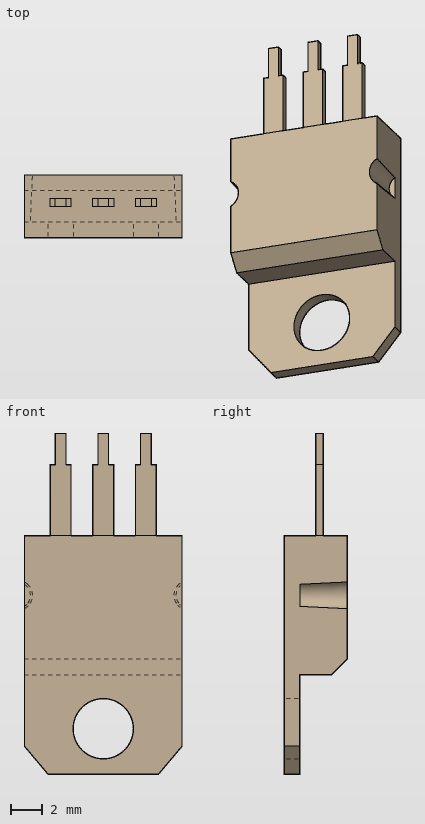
import cadquery as cq

width = 10.0
thickness = 4.0
total_height = 21.6

tab_thickness = 1.0
tab_corner_width = 1.51
tab_corner_height = 1.8
hole_diameter = 3.8
hole_height = 2.9

body_bottom = 6.3
body_top = 15.12
body_chamfer = 1.0

notch_height = 11.35
notch_axis_offset = 0.43
notch_outer_radius = 0.95
notch_inner_radius = 0.82

lead_pitch = 2.7
lead_offsets = (-lead_pitch, 0, lead_pitch)
lead_width = 1.35
lead_tip_width = 0.7
lead_thickness = 0.5
lead_front = 1.99
lead_shoulder = 19.61


def make_tab():
    half = width / 2
    foot = half - tab_corner_width
    outline = [
        (-foot, 0),
        (foot, 0),
        (half, tab_corner_height),
        (half, body_top),
        (-half, body_top),
        (-half, tab_corner_height),
    ]
    tab = cq.Workplane("XZ").polyline(outline).close().extrude(-tab_thickness)
    hole = cq.Workplane("XZ").center(0, hole_height).circle(hole_diameter / 2).extrude(-tab_thickness)
    return tab.cut(hole)


def make_body():
    profile = [
        (tab_thickness, body_bottom),
        (thickness - body_chamfer, body_bottom),
        (thickness, body_bottom + body_chamfer),
        (thickness, body_top),
        (tab_thickness, body_top),
    ]
    return cq.Workplane("YZ").polyline(profile).close().extrude(width / 2, both=True)


def make_notch(side):
    """Cone along Y, widening toward the back; side is -1 or 1."""
    axis_x = side * (width / 2 + notch_axis_offset)
    return cq.Workplane(
        cq.Solid.makeCone(
            notch_inner_radius,
            notch_outer_radius,
            thickness - tab_thickness,
            pnt=cq.Vector(axis_x, tab_thickness, notch_height),
            dir=cq.Vector(0, 1, 0),
        )
    )


def make_lead(x):
    """Flat lead with a narrower tip."""

    def bar(bar_width, top):
        return cq.Workplane("XY").box(
            bar_width, lead_thickness, top - body_top, centered=(True, False, False)
        )

    lead = bar(lead_width, lead_shoulder).union(bar(lead_tip_width, total_height))
    return lead.translate((x, lead_front, body_top))


result = make_tab().union(make_body())
for side in (-1, 1):
    result = result.cut(make_notch(side))
for x in lead_offsets:
    result = result.union(make_lead(x))